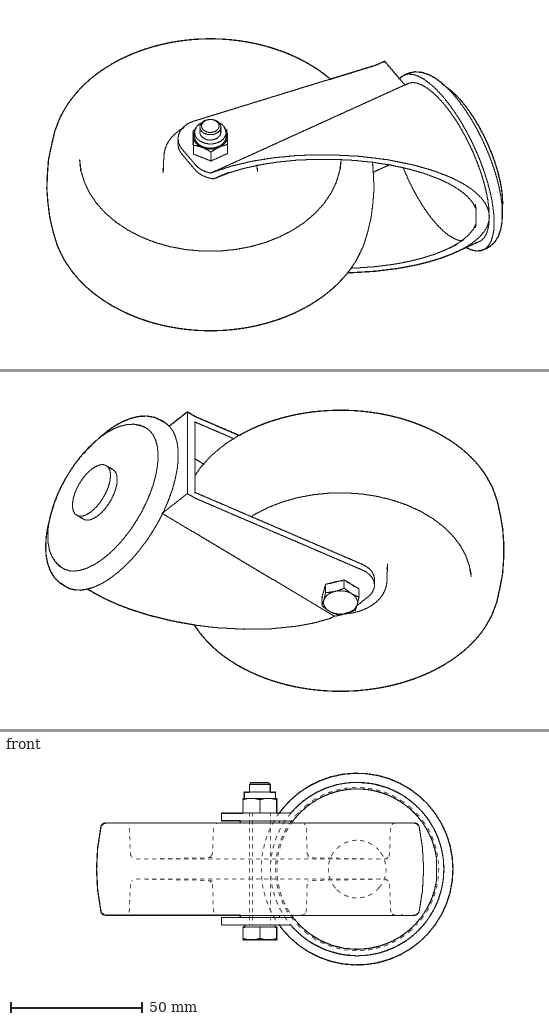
import cadquery as cq
import math


wheel_radius = 62.3
tread_edge_radius = 60.2
wheel_half_width = 17.6
edge_round = 2.0
recess_mouth_radius = 49.8
recess_foot_radius = 49.2
hub_top_radius = 17.6
hub_foot_radius = 18.0
web_half_hub = 4.4
web_half_rim = 3.7
spacer_diameter = 15.0

swivel_offset = 36.97
arm_outer_z = 21.3
arm_thickness = 3.0
arm_inner_z = arm_outer_z - arm_thickness
arm_bottom_y = -9.8
arm_half_width = 15.0
arm_corner_radius = 10.0
arm_left_bottom_x = -16.3
rake_start_angle = 53.0
crown_left_x = -2.8
crown_top_y = 79.7
crown_thickness = 3.9
crown_bottom_y = crown_top_y - crown_thickness
bore_top_y = 77.2
tube_radius = 33.0
tube_bore_diameter = 61.0

head_top_y = 93.4
stud_diameter = 22.0
stud_height = 3.5
cap_diameter = 62.1
cap_height = 3.1
cap_round = 3.0
flange_diameter = 73.0
flange_height = 5.5
flange_round = 3.9
cap_top_y = head_top_y - stud_height
flange_top_y = cap_top_y - cap_height
flange_bottom_y = flange_top_y - flange_height

bolt_diameter = 8.0
hex_corner_diameter = 15.0
nut_height = 5.6
nut_collar_diameter = 12.0
nut_collar_height = 2.3
bolt_end_z = 32.8
bolt_end_chamfer = 0.6
head_washer_diameter = 11.7
head_washer_height = 0.8
bolt_head_height = 4.8
hex_bevel_angle = 30.0


def cylinder_z(diameter, z_low, z_high):
    """Cylinder on the wheel axis between two heights."""
    return cq.Workplane("XY").workplane(offset=z_low).circle(diameter / 2).extrude(z_high - z_low)


def wheel_recess():
    """Ring-shaped recess in the upper side, with rounded foot corners."""
    profile = [
        (hub_top_radius, wheel_half_width),
        (hub_foot_radius, web_half_hub),
        (recess_foot_radius, web_half_rim),
        (recess_mouth_radius, wheel_half_width),
    ]
    ring = cq.Workplane("XZ").polyline(profile).close().revolve(360, (0, 0, 0), (0, 1, 0))
    foot_corners = cq.selectors.BoxSelector(
        (-wheel_radius, -wheel_radius, 0), (wheel_radius, wheel_radius, wheel_half_width / 2)
    )
    lower_edges = ring.edges("%CIRCLE").edges(foot_corners)
    return lower_edges.fillet(edge_round)


def make_wheel():
    body = (
        cq.Workplane("XZ")
        .moveTo(0, -wheel_half_width)
        .lineTo(tread_edge_radius, -wheel_half_width)
        .threePointArc((wheel_radius, 0), (tread_edge_radius, wheel_half_width))
        .lineTo(0, wheel_half_width)
        .close()
        .revolve(360, (0, 0, 0), (0, 1, 0))
    )
    upper_recess = wheel_recess()
    body = body.cut(upper_recess).cut(upper_recess.mirror("XY"))
    for face in (">Z", "<Z"):
        body = body.faces(face).edges("%CIRCLE").fillet(edge_round)
    spacer = cylinder_z(spacer_diameter, -arm_inner_z, arm_inner_z)
    bore = cylinder_z(bolt_diameter, -arm_inner_z, arm_inner_z)
    return body.union(spacer).cut(bore)


def disc_y(diameter, y_low, y_high):
    """Disc on the swivel axis between two levels."""
    base = cq.Workplane("XZ", origin=(swivel_offset, y_low, 0))
    return base.circle(diameter / 2).extrude(y_low - y_high)


def horseshoe(half_width, radius, channel_top_y, tube_top_y):
    """Straight-sided channel running along -X out of a round tube, both extruded along Y."""
    length = swivel_offset + 2 * arm_half_width
    base = cq.Workplane("XZ", origin=(swivel_offset, arm_bottom_y, 0))
    channel = base.center(-length / 2, 0).rect(length, 2 * half_width).extrude(arm_bottom_y - channel_top_y)
    tube = disc_y(2 * radius, arm_bottom_y, tube_top_y)
    return channel.union(tube)


def side_outline():
    """Outline of the fork seen along the axle, with rounded lower ends and a raked edge."""
    corner_centre_x = arm_half_width - arm_corner_radius
    corner_centre_y = arm_bottom_y + arm_corner_radius

    def corner_point(degrees):
        """Point on the lower right rounding, turned from straight down."""
        angle = math.radians(degrees)
        return (
            corner_centre_x + arm_corner_radius * math.sin(angle),
            corner_centre_y - arm_corner_radius * math.cos(angle),
        )

    outline = (
        cq.Workplane("XY")
        .workplane(offset=-tube_radius)
        .moveTo(crown_left_x, crown_top_y)
        .lineTo(crown_left_x, crown_bottom_y)
        .lineTo(arm_left_bottom_x, arm_bottom_y)
        .lineTo(*corner_point(0))
        .threePointArc(corner_point(rake_start_angle / 2), corner_point(rake_start_angle))
        .lineTo(swivel_offset + tube_radius, flange_bottom_y)
        .lineTo(crown_left_x, flange_bottom_y)
        .close()
        .extrude(2 * tube_radius)
    )
    return outline.faces("<Y").edges("<X").fillet(arm_corner_radius)


def make_swivel_head():
    flange = disc_y(flange_diameter, flange_bottom_y, flange_top_y)
    flange = flange.faces(">Y").edges().fillet(flange_round)
    cap = disc_y(cap_diameter, flange_top_y, cap_top_y)
    cap = cap.faces(">Y").edges().fillet(cap_round)
    stud = disc_y(stud_diameter, cap_top_y, head_top_y)
    return flange.union(cap).union(stud)


def make_fork():
    outer = horseshoe(arm_outer_z, tube_radius, crown_top_y, flange_bottom_y)
    inner = horseshoe(arm_inner_z, tube_bore_diameter / 2, crown_bottom_y, bore_top_y)
    shell = outer.cut(inner).intersect(side_outline())
    axle_hole = cylinder_z(bolt_diameter, -arm_outer_z, arm_outer_z)
    return shell.cut(axle_hole).union(make_swivel_head())


def hexagon(z_low, height):
    """Hexagon with corners along Y and its upper corners bevelled."""
    prism = (
        cq.Workplane("XY")
        .workplane(offset=z_low)
        .transformed(rotate=(0, 0, 90))
        .polygon(6, hex_corner_diameter)
        .extrude(height)
    )
    corner_radius = hex_corner_diameter / 2
    flat_radius = corner_radius * math.cos(math.pi / 6)
    bevel_drop = (corner_radius - flat_radius) * math.tan(math.radians(hex_bevel_angle))
    bevel = (
        cq.Workplane("XZ")
        .polyline([
            (0, z_low),
            (corner_radius, z_low),
            (corner_radius, z_low + height - bevel_drop),
            (flat_radius, z_low + height),
            (0, z_low + height),
        ])
        .close()
        .revolve(360, (0, 0, 0), (0, 1, 0))
    )
    return prism.intersect(bevel)


def make_axle():
    nut_top_z = arm_outer_z + nut_height
    head_base_z = arm_outer_z + head_washer_height
    shank = cylinder_z(bolt_diameter, -head_base_z, bolt_end_z)
    shank = shank.faces(">Z").chamfer(bolt_end_chamfer)
    nut = hexagon(arm_outer_z, nut_height)
    collar = cylinder_z(nut_collar_diameter, nut_top_z, nut_top_z + nut_collar_height)
    washer = cylinder_z(head_washer_diameter, -head_base_z, -arm_outer_z)
    bolt_head = hexagon(head_base_z, bolt_head_height).mirror("XY")
    return shank.union(nut).union(collar).union(washer).union(bolt_head)


wheel = make_wheel()
fork = make_fork()
axle = make_axle()

result = cq.Compound.makeCompound([wheel.val(), fork.val(), axle.val()])